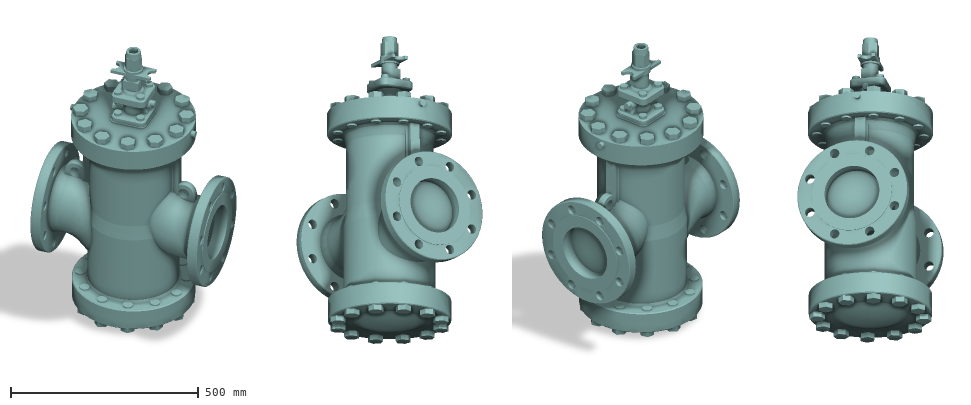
import cadquery as cq
import math


face_to_face = 480.0
pipe_flange_dia = 300.0
pipe_flange_thickness = 28.5
pipe_flange_chamfer = 2.0
raised_face_dia = 218.0
raised_face_height = 2.0
pipe_bore_dia = 150.0
pipe_bore_depth = 36.0
pipe_bolt_circle_dia = 250.0
pipe_bolt_hole_dia = 26.0
pipe_bolt_count = 8
pipe_radius = 87.0
pipe_root_radius = 92.0
pipe_root_end = 182.0
elbow_angle = 45.0
elbow_radius = 132.0
inlet_bend_start = 180.0
outlet_bend_start = 165.0
elbow_leg_length = 60.0
flange_back = face_to_face / 2 - raised_face_height - pipe_flange_thickness

body_lower_radius = 123.0
body_upper_radius = 117.0
body_step_radius = 119.5
neck_radius = 122.5
body_lower_top = -1.0
body_step_z = 23.5
body_upper_start = 41.0
neck_start = 226.0
upper_flange_radius = 334.0 / 2
upper_flange_bottom = 257.0
lid_top = 317.3
lower_flange_radius = 330.0 / 2
lower_flange_top = -200.5
cover_flange_chamfer = 2.5
flange_root_taper = 6.0
lower_flange_bottom = -261.0
bottom_z = -280.0
overall_height = 810.0
dome_edge_radius = 98.0

bolt_circle_radius = 142.5
bolt_count = 12
bolt_head_flats = 36.0
upper_bolt_head_height = 17.2
lower_bolt_head_height = 14.3
stud_dia = 27.0
stud_end_height = 4.5
lid_plug_dia = 17.0
lid_plug_reach = 178.0
lid_plug_z = 303.0

rib_width = 28.0
rib_base_width = 38.0
rib_base_reach = 121.0
inlet_rib_top_reach = 134.0
inlet_rib_foot_reach = 145.0
outlet_rib_reach = 132.5
rib_foot_z = 50.0
lug_radius = 30.0
lug_hole_dia = 30.0
lug_thickness = 20.0
lug_edge_round = 4.0
inlet_lug_x, inlet_lug_z = -163.0, 101.5
outlet_lug_x, outlet_lug_z = 148.0, 109.0

base_pad_side = 101.0
base_pad_top = 322.0
plate_side = 97.0
plate_corner_radius = 15.0
plate_edge_chamfer = 3.0
base_plate_top = 337.0
bonnet_bottom = 381.0
bonnet_top = 405.0
small_bolt_dia = 21.0
small_bolt_height = 8.0
small_bolt_offset = 32.5
neck_dia = 52.0
neck_top = 363.0
waist_dia = 44.0
waist_z = 366.0
bonnet_cone_dia = 70.0
collar_boss_dia = 61.7
collar_boss_height = 6.0
stem_dia = 42.0
stem_flat_reach = 21.3
stem_flat_bottom = 416.0
stem_flat_top = 441.5
handle_hub_dia = 52.0
handle_hub_bottom = 455.0
handle_hub_top = 476.0
handle_span = 112.0
handle_width = 48.0
handle_bottom = 460.0
handle_top = 469.0
handle_notch_dia = 30.0
nut_flats = 41.0
nut_top = 514.5
cap_base_dia = 42.0
top_z = bottom_z + overall_height
cap_dia = 38.5
socket_flats = 25.0
socket_depth = 15.0
inlet_port_dia = 21.0
inlet_port_cap_dia = 26.0
inlet_port_cap_width = 6.5
inlet_port_reach = 56.0
inlet_port_z = 341.0
outlet_port_dia = 24.0
outlet_port_reach = 51.0
outlet_port_z = 369.0
outlet_plug_dia = 17.0
outlet_plug_reach = 62.5
outlet_plug_z = 373.0
gusset_thickness = 10.0
gusset_top_z = 354.0
gusset_top_reach = 36.0
gusset_foot_reach = 46.5


def fuse(solids):
    """Join a list of overlapping or touching solids into one."""
    joined = solids[0]
    for solid in solids[1:]:
        joined = joined.union(solid, clean=False)
    return joined.clean()


def cylinder_z(diameter, bottom, top, x=0.0, y=0.0):
    return cq.Workplane("XY", origin=(x, y, bottom)).circle(diameter / 2).extrude(top - bottom)


def cylinder_x(diameter, start, end, z):
    return cq.Workplane("YZ", origin=(start, 0, z)).circle(diameter / 2).extrude(end - start)


def hexagon(flats, bottom, top):
    """Hexagonal prism about Z with two corners on the X axis."""
    corner_dia = flats / math.cos(math.radians(30))
    return cq.Workplane("XY", origin=(0, 0, bottom)).polygon(6, corner_dia).extrude(top - bottom)


def body():
    dome_middle = dome_edge_radius / 2
    dome_height = lower_flange_bottom - bottom_z
    dome_radius = (dome_edge_radius**2 + dome_height**2) / (2 * dome_height)
    dome_middle_z = bottom_z + dome_radius - math.sqrt(dome_radius**2 - dome_middle**2)
    profile = (
        cq.Workplane("XZ")
        .moveTo(0, bottom_z)
        .threePointArc((dome_middle, dome_middle_z), (dome_edge_radius, lower_flange_bottom))
        .lineTo(lower_flange_radius - cover_flange_chamfer, lower_flange_bottom)
        .lineTo(lower_flange_radius, lower_flange_bottom + cover_flange_chamfer)
        .lineTo(lower_flange_radius, lower_flange_top - cover_flange_chamfer)
        .lineTo(lower_flange_radius - cover_flange_chamfer, lower_flange_top)
        .lineTo(body_lower_radius + flange_root_taper, lower_flange_top)
        .lineTo(body_lower_radius, lower_flange_top + flange_root_taper)
        .lineTo(body_lower_radius, body_lower_top)
        .lineTo(body_step_radius, body_step_z)
        .lineTo(body_upper_radius, body_upper_start)
        .lineTo(body_upper_radius, neck_start)
        .lineTo(neck_radius, upper_flange_bottom - flange_root_taper)
        .lineTo(neck_radius + flange_root_taper, upper_flange_bottom)
        .lineTo(upper_flange_radius - cover_flange_chamfer, upper_flange_bottom)
        .lineTo(upper_flange_radius, upper_flange_bottom + cover_flange_chamfer)
        .lineTo(upper_flange_radius, lid_top)
        .lineTo(0, lid_top)
        .close()
    )
    return profile.revolve(360, (0, 0, 0), (0, 1, 0))


def cover_bolts():
    """Bolt heads on both covers and the stud ends on the inner flange faces."""
    lower_head_end = lower_flange_bottom - lower_bolt_head_height
    upper_stud_end = upper_flange_bottom - stud_end_height
    lower_stud_end = lower_flange_top + stud_end_height
    pieces = [
        hexagon(bolt_head_flats, lid_top, lid_top + upper_bolt_head_height),
        hexagon(bolt_head_flats, lower_head_end, lower_flange_bottom),
        cylinder_z(stud_dia, upper_stud_end, upper_flange_bottom),
        cylinder_z(stud_dia, lower_flange_top, lower_stud_end),
    ]
    pitch = 360 / bolt_count
    placed = []
    for i in range(bolt_count):
        angle = pitch * (i + 0.5)
        for piece in pieces:
            placed.append(piece.translate((bolt_circle_radius, 0, 0)).rotate((0, 0, 0), (0, 0, 1), angle))
    return placed


def nozzle(bend_start):
    """Nozzle on the -X side: a flared root and an elbow that turns downward into the body."""
    root = (
        cq.Workplane("XZ")
        .moveTo(-flange_back, 0)
        .lineTo(-flange_back, pipe_root_radius)
        .lineTo(-pipe_root_end, pipe_radius)
        .lineTo(-bend_start, pipe_radius)
        .lineTo(-bend_start, 0)
        .close()
        .revolve(360, (0, 0, 0), (1, 0, 0))
    )
    elbow = (
        cq.Workplane("YZ", origin=(-bend_start, 0, 0))
        .circle(pipe_radius)
        .revolve(elbow_angle, (0, -elbow_radius, 0), (1, -elbow_radius, 0))
    )
    leg = (
        cq.Workplane("YZ", origin=(-bend_start, 0, 0))
        .circle(pipe_radius)
        .extrude(elbow_leg_length)
        .rotate((-bend_start, 0, -elbow_radius), (-bend_start, 1, -elbow_radius), elbow_angle)
    )
    raised_face_x = -face_to_face / 2
    rim_x = raised_face_x + raised_face_height
    flange = cylinder_x(pipe_flange_dia, rim_x, -flange_back, 0).edges().chamfer(pipe_flange_chamfer)
    raised_face = cylinder_x(raised_face_dia, raised_face_x, rim_x, 0)
    return fuse([root, elbow, leg, flange, raised_face])


def nozzle_openings():
    """Blind bore and bolt holes of the flange on the -X side."""
    face_x = -face_to_face / 2
    bore = cylinder_x(pipe_bore_dia, face_x, face_x + pipe_bore_depth, 0)
    holes = (
        cq.Workplane("YZ", origin=(face_x, 0, 0))
        .polarArray(pipe_bolt_circle_dia / 2, 180 / pipe_bolt_count, 360, pipe_bolt_count)
        .circle(pipe_bolt_hole_dia / 2)
        .extrude(face_to_face / 2 - flange_back)
    )
    return bore.union(holes)


def turn_to_outlet(solid):
    return solid.rotate((0, 0, 0), (0, 1, 0), 180)


def wall_plate(points, thickness):
    """Plate in the XZ plane, centred on y = 0."""
    return cq.Workplane("XZ").polyline(points).close().extrude(thickness / 2, both=True)


def rib(side, top_reach, foot_reach):
    """Vertical rib with a wider strip where it meets the body."""
    core = side * body_upper_radius / 2
    web = wall_plate(
        [
            (core, upper_flange_bottom),
            (side * top_reach, upper_flange_bottom),
            (side * foot_reach, rib_foot_z),
            (core, rib_foot_z),
        ],
        rib_width,
    )
    strip = wall_plate(
        [
            (core, upper_flange_bottom),
            (side * rib_base_reach, upper_flange_bottom),
            (side * rib_base_reach, rib_foot_z),
            (core, rib_foot_z),
        ],
        rib_base_width,
    )
    return [web, strip]


def lug(x, z):
    """Rounded lifting eye, extended down into the nozzle and inward into the rib."""
    side = math.copysign(1, x)
    eye = cq.Workplane("XZ", origin=(x, 0, z)).circle(lug_radius).extrude(lug_thickness / 2, both=True)
    eye = eye.faces("<Y or >Y").edges().fillet(lug_edge_round)
    inner_x = x - side * lug_radius
    outer_x = x + side * lug_radius
    foot_z = pipe_radius / 2
    foot = wall_plate([(outer_x, z), (outer_x, foot_z), (inner_x, foot_z), (inner_x, z)], lug_thickness)
    return eye.union(foot)


def lug_hole(x, z):
    return cq.Workplane("XZ", origin=(x, 0, z)).circle(lug_hole_dia / 2).extrude(lug_thickness, both=True)


def square_plate(side, bottom, top):
    plate = cq.Workplane("XY", origin=(0, 0, bottom)).rect(side, side).extrude(top - bottom)
    return plate.edges("|Z").fillet(plate_corner_radius)


def valve_plates():
    base_pad = square_plate(base_pad_side, lid_top, base_pad_top)
    base_plate = square_plate(plate_side, base_pad_top, base_plate_top)
    bonnet = square_plate(plate_side, bonnet_bottom, bonnet_top)
    plates = [
        base_pad,
        base_plate.faces(">Z").edges().chamfer(plate_edge_chamfer),
        bonnet.faces("<Z or >Z").edges().chamfer(plate_edge_chamfer),
    ]
    for x in (-small_bolt_offset, small_bolt_offset):
        for y in (-small_bolt_offset, small_bolt_offset):
            for seat in (base_plate_top, bonnet_top):
                plates.append(cylinder_z(small_bolt_dia, seat, seat + small_bolt_height, x, y))
    return plates


def valve_spindle():
    """Turned parts on the valve axis, from the base plate up to the cap."""
    return (
        cq.Workplane("XZ")
        .moveTo(0, base_pad_top)
        .lineTo(neck_dia / 2, base_pad_top)
        .lineTo(neck_dia / 2, neck_top)
        .lineTo(waist_dia / 2, neck_top)
        .lineTo(waist_dia / 2, waist_z)
        .lineTo(bonnet_cone_dia / 2, bonnet_bottom)
        .lineTo(collar_boss_dia / 2, bonnet_top)
        .lineTo(neck_dia / 2, bonnet_top + collar_boss_height)
        .lineTo(stem_dia / 2, bonnet_top + collar_boss_height)
        .lineTo(stem_dia / 2, handle_hub_bottom)
        .lineTo(handle_hub_dia / 2, handle_hub_bottom)
        .lineTo(handle_hub_dia / 2, handle_hub_top)
        .lineTo(cap_dia / 2, handle_hub_top)
        .lineTo(cap_dia / 2, nut_top)
        .lineTo(cap_base_dia / 2, nut_top)
        .lineTo(cap_dia / 2, top_z)
        .lineTo(0, top_z)
        .close()
        .revolve(360, (0, 0, 0), (0, 1, 0))
    )


def stem_block():
    """Flat-sided half of the stem on the -Y side."""
    block = cq.Workplane("XY", origin=(0, -stem_flat_reach / 2, stem_flat_bottom))
    return block.rect(2 * stem_flat_reach, stem_flat_reach).extrude(stem_flat_top - stem_flat_bottom)


def handle():
    thickness = handle_top - handle_bottom
    bar = cq.Workplane("XY", origin=(0, 0, handle_bottom)).rect(handle_span, handle_width).extrude(thickness)
    for end_x in (-handle_span / 2, handle_span / 2):
        bar = bar.cut(cylinder_z(handle_notch_dia, handle_bottom, handle_top, x=end_x))
    return bar


def valve_ports():
    cap_inner = -inlet_port_reach + inlet_port_cap_width
    gusset = wall_plate(
        [
            (0, gusset_top_z),
            (gusset_top_reach, gusset_top_z),
            (gusset_foot_reach, base_pad_top),
            (0, base_pad_top),
        ],
        gusset_thickness,
    )
    return [
        cylinder_x(inlet_port_dia, cap_inner, 0, inlet_port_z),
        cylinder_x(inlet_port_cap_dia, -inlet_port_reach, cap_inner, inlet_port_z),
        cylinder_x(outlet_port_dia, 0, outlet_port_reach, outlet_port_z),
        cylinder_x(outlet_plug_dia, 0, outlet_plug_reach, outlet_plug_z),
        gusset,
    ]


vessel = [
    body(),
    nozzle(inlet_bend_start),
    turn_to_outlet(nozzle(outlet_bend_start)),
    cylinder_x(lid_plug_dia, -lid_plug_reach, lid_plug_reach, lid_plug_z),
    lug(inlet_lug_x, inlet_lug_z),
    lug(outlet_lug_x, outlet_lug_z),
]
vessel += rib(-1, inlet_rib_top_reach, inlet_rib_foot_reach)
vessel += rib(1, outlet_rib_reach, outlet_rib_reach)
vessel += cover_bolts()

valve = [
    valve_spindle(),
    hexagon(nut_flats, handle_hub_top, nut_top),
    stem_block(),
    handle(),
]
valve += valve_plates()
valve += valve_ports()

openings = [
    nozzle_openings(),
    turn_to_outlet(nozzle_openings()),
    lug_hole(inlet_lug_x, inlet_lug_z),
    lug_hole(outlet_lug_x, outlet_lug_z),
    hexagon(socket_flats, top_z - socket_depth, top_z),
]

result = fuse(vessel + valve)
for opening in openings:
    result = result.cut(opening)